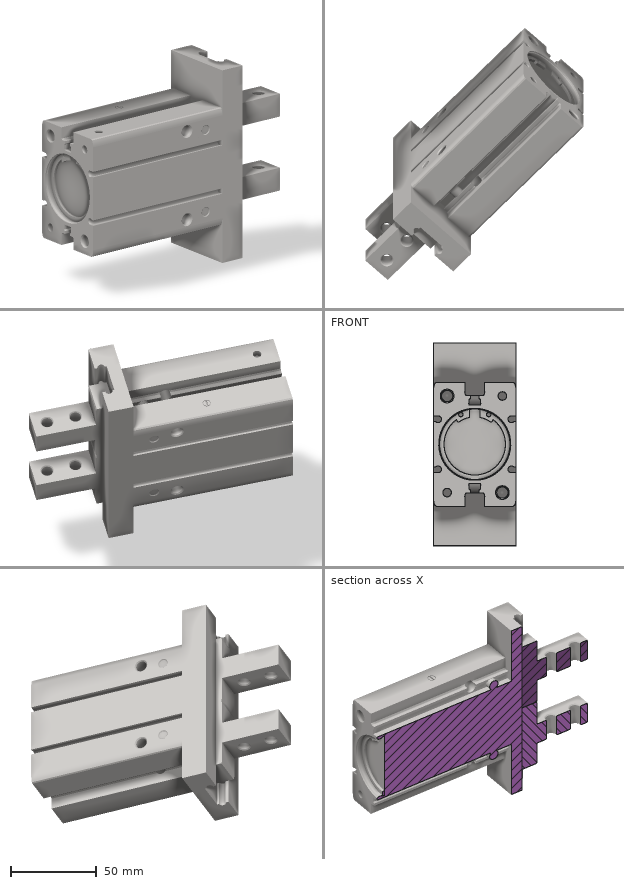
import cadquery as cq
import math


total_length = 150.2
width = 48.0
body_height = 72.0
body_length = 95.6
flange_height = 118.0
flange_thickness = 15.0
flange_front = body_length + flange_thickness
half_width = width / 2
half_height = body_height / 2

edge_drop = 4.5
bevel_width = 0.9
bevel_drop = 0.5
edge_arc_inset = 0.9
edge_arc_drop = edge_drop - bevel_drop
edge_arc_radius = (edge_arc_drop**2 + edge_arc_inset**2) / (2 * edge_arc_inset)

slot_width = 11.4
slot_depth = 7.7
slot_corner = 0.8
neck_width = 5.0
neck_end_depth = 9.3
undercut_width = 6.8
undercut_start_depth = 10.0
undercut_depth = 13.2

groove_outer_z = 16.5
groove_neck = 3.3
groove_diameter = 3.9
groove_depth = 4.7

pivot_y = 83.3
pivot_z = 25.0
pivot_diameter = 6.3
pivot_dish = 6.0
pivot_dish_depth = 0.5
cross_hole_y = 69.5
cross_hole_z = 27.0
cross_hole_diameter = 6.6
cross_hole_mouth = 8.0

rear_hole_x = 16.0
rear_hole_z = 28.1
mount_diameter = 6.6
mount_mouth = 8.0
mount_depth = 18.0
pilot_diameter = 5.0
pilot_depth = 12.0

port_x = 14.1
port_y = 12.0
port_diameter = 5.0
port_depth = 4.5
screw_y = 49.2
screw_diameter = 5.0
screw_head_diameter = 3.9
screw_recess = 0.5
screw_slot_width = 0.9
screw_slot_depth = 0.9

bore_diameter = 41.0
bore_mouth = 41.9
bore_mouth_depth = 0.8
bore_depth = 5.4
ring_thickness = 1.7
ring_outer_diameter = 42.3
ring_inner_diameter = 35.7
ring_gap = 5.9
lug_radius = 15.9
lug_half_angle = 37.0
lug_corner = 0.5
ring_hole_x = 8.1
ring_hole_z = 17.3
ring_hole_diameter = 2.5

jaw_width = 18.0
channel_depth = 7.2
rail_depth = 3.9
rail_diameter = 3.3
rail_groove_diameter = 4.2
jaw_plate_front = 114.4
jaw_plate_length = 44.1
jaw_plate_bevel_y = 0.5
jaw_plate_bevel_z = 1.8
finger_height = 14.0
finger_z = 22.7
finger_hole_tip_distance = 8.7
finger_hole_pitch = 17.0
finger_hole_diameter = 6.6
finger_hole_mouth = 7.8


def cylinder_x(diameter, length, x, y, z):
    """Cylinder along +X that starts at (x, y, z)."""
    return cq.Workplane(cq.Solid.makeCylinder(diameter / 2, length, cq.Vector(x, y, z), cq.Vector(1, 0, 0)))


def cylinder_y(diameter, length, x, y, z):
    """Cylinder along +Y that starts at (x, y, z)."""
    return cq.Workplane(cq.Solid.makeCylinder(diameter / 2, length, cq.Vector(x, y, z), cq.Vector(0, 1, 0)))


def hole_mouth(mouth, diameter, place, direction):
    """45 degree cone that opens a hole at its mouth."""
    depth = (mouth - diameter) / 2
    cone = cq.Solid.makeCone(mouth / 2, diameter / 2, depth, cq.Vector(*place), cq.Vector(*direction))
    return cq.Workplane(cone)


def extrude_y(sketch, start, end):
    """Extrude an (x, z) outline from Y = start to Y = end."""
    return sketch.extrude(start - end).translate((0, start, 0))


def body_block():
    """Extruded body with its four shaped long edges."""
    mid_angle = math.asin(edge_arc_drop / edge_arc_radius) / 2
    arc_mid_x = half_width - edge_arc_radius * (1 - math.cos(mid_angle))
    arc_end_z = half_height - edge_drop
    arc_mid_z = arc_end_z + edge_arc_radius * math.sin(mid_angle)
    arc_start_x = half_width - edge_arc_inset
    arc_start_z = half_height - bevel_drop
    outline = (
        cq.Workplane("XZ")
        .moveTo(0, half_height)
        .lineTo(arc_start_x - bevel_width, half_height)
        .lineTo(arc_start_x, arc_start_z)
        .threePointArc((arc_mid_x, arc_mid_z), (half_width, arc_end_z))
        .lineTo(half_width, -arc_end_z)
        .threePointArc((arc_mid_x, -arc_mid_z), (arc_start_x, -arc_start_z))
        .lineTo(arc_start_x - bevel_width, -half_height)
        .lineTo(0, -half_height)
        .mirrorY()
    )
    return extrude_y(outline, 0, body_length)


def stepped_slot():
    """Cutter for the slot in the top face: wide mouth, neck and undercut."""
    half_slot = slot_width / 2
    points = [
        (half_slot, 0),
        (half_slot, slot_depth - slot_corner),
        (half_slot - slot_corner, slot_depth),
        (neck_width / 2, slot_depth),
        (neck_width / 2, neck_end_depth),
        (undercut_width / 2, undercut_start_depth),
        (undercut_width / 2, undercut_depth),
    ]
    right = [(x, half_height - depth) for x, depth in points]
    left = [(-x, z) for x, z in reversed(right)]
    return extrude_y(cq.Workplane("XZ").polyline(right + left).close(), 0, body_length)


def side_groove(side):
    """Cutter for an upper sensor groove: its mouth is flush with the top of its wider round bottom."""
    centre_inset = groove_depth - groove_diameter / 2
    centre_x = side * (half_width - centre_inset)
    centre_z = groove_outer_z - groove_diameter / 2
    mouth = (
        cq.Workplane("XY")
        .box(centre_inset, body_length, groove_neck)
        .translate((side * (half_width - centre_inset / 2), body_length / 2, groove_outer_z - groove_neck / 2))
    )
    return mouth.union(cylinder_y(groove_diameter, body_length, centre_x, 0, centre_z))


def jaw_section(rail):
    """Jaw guide cross-section in the XY plane: straight sides and a round rail on each."""
    channel_floor = flange_front - channel_depth
    rail_y = flange_front - rail_depth
    half_jaw = jaw_width / 2
    return (
        cq.Workplane("XY")
        .moveTo(-half_jaw, channel_floor)
        .lineTo(half_jaw, channel_floor)
        .lineTo(half_jaw, rail_y - rail / 2)
        .threePointArc((half_jaw + rail / 2, rail_y), (half_jaw, rail_y + rail / 2))
        .lineTo(half_jaw, jaw_plate_front)
        .lineTo(-half_jaw, jaw_plate_front)
        .lineTo(-half_jaw, rail_y + rail / 2)
        .threePointArc((-half_jaw - rail / 2, rail_y), (-half_jaw, rail_y - rail / 2))
        .close()
    )


def cut_rear_holes(housing):
    """Chamfered mounting holes and plain pilot holes in opposite corners of the rear face."""
    for side in (-1, 1):
        x = side * rear_hole_x
        z = -side * rear_hole_z
        housing = housing.cut(cylinder_y(mount_diameter, mount_depth, x, 0, z))
        housing = housing.cut(hole_mouth(mount_mouth, mount_diameter, (x, 0, z), (0, 1, 0)))
        housing = housing.cut(cylinder_y(pilot_diameter, pilot_depth, x, 0, -z))
    return housing


def cut_cross_hole(housing, z):
    """Hole through the whole width, chamfered at both ends."""
    housing = housing.cut(cylinder_x(cross_hole_diameter, width, -half_width, cross_hole_y, z))
    for side in (-1, 1):
        place = (side * half_width, cross_hole_y, z)
        housing = housing.cut(hole_mouth(cross_hole_mouth, cross_hole_diameter, place, (-side, 0, 0)))
    return housing


def add_pivot(housing, z):
    """Pivot bar across the slot, with a shallow dished end on each side face."""
    housing = housing.union(cylinder_x(pivot_diameter, slot_width, -slot_width / 2, pivot_y, z))
    for side in (-1, 1):
        place = (side * half_width, pivot_y, z)
        dish_floor = pivot_dish - 2 * pivot_dish_depth
        housing = housing.cut(hole_mouth(pivot_dish, dish_floor, place, (-side, 0, 0)))
    return housing


def cut_top_openings(housing):
    """Blind port, and a slotted plug screw set slightly below the top face."""
    top = cq.Workplane("XY", origin=(0, 0, half_height))
    port = top.center(port_x, port_y).circle(port_diameter / 2).extrude(-port_depth)
    screw = top.center(-port_x, screw_y)
    rim = screw.circle(screw_diameter / 2).circle(screw_head_diameter / 2).extrude(-screw_recess)
    slot = screw.rect(screw_head_diameter, screw_slot_width).extrude(-screw_slot_depth)
    return housing.cut(port).cut(rim).cut(slot)


def cut_bore(housing):
    """Rear bore with a wider, chamfered mouth and a ring groove at its bottom."""
    housing = housing.cut(cylinder_y(bore_diameter, bore_depth, 0, 0, 0))
    housing = housing.cut(cylinder_y(bore_mouth, bore_mouth_depth, 0, 0, 0))
    housing = housing.cut(hole_mouth(bore_mouth, bore_diameter, (0, bore_mouth_depth, 0), (0, 1, 0)))
    groove_start = bore_depth - ring_thickness
    return housing.cut(cylinder_y(ring_outer_diameter, ring_thickness, 0, groove_start, 0))


def make_housing():
    flange = (
        cq.Workplane("XY")
        .box(width, flange_thickness, flange_height)
        .translate((0, body_length + flange_thickness / 2, 0))
    )
    housing = body_block()
    slot = stepped_slot()
    housing = housing.cut(slot).cut(slot.mirror("XY"))
    for side in (-1, 1):
        groove = side_groove(side)
        housing = housing.cut(groove).cut(groove.mirror("XY"))
    housing = housing.union(flange)
    channel = jaw_section(rail_groove_diameter).extrude(flange_height / 2, both=True)
    housing = housing.cut(channel)
    for direction in (-1, 1):
        housing = add_pivot(housing, direction * pivot_z)
        housing = cut_cross_hole(housing, direction * cross_hole_z)
    housing = cut_rear_holes(housing)
    housing = cut_top_openings(housing)
    return cut_bore(housing)


def make_jaw():
    """Upper jaw: guided plate with a finger that carries two holes."""
    jaw = jaw_section(rail_diameter).extrude(jaw_plate_length)
    for z, inward in ((0, 1), (jaw_plate_length, -1)):
        bevel = (
            cq.Workplane("YZ")
            .moveTo(jaw_plate_front, z)
            .lineTo(jaw_plate_front - jaw_plate_bevel_y, z)
            .lineTo(jaw_plate_front, z + inward * jaw_plate_bevel_z)
            .close()
            .extrude(half_width, both=True)
        )
        jaw = jaw.cut(bevel)
    finger_root = flange_front
    finger_length = total_length - finger_root
    finger = (
        cq.Workplane("XY")
        .box(jaw_width, finger_length, finger_height)
        .translate((0, finger_root + finger_length / 2, finger_z))
    )
    jaw = jaw.union(finger)
    finger_bottom = finger_z - finger_height / 2
    finger_top = finger_z + finger_height / 2
    for index in range(2):
        y = total_length - finger_hole_tip_distance - index * finger_hole_pitch
        hole = cq.Workplane("XY", origin=(0, y, finger_bottom)).circle(finger_hole_diameter / 2)
        jaw = jaw.cut(hole.extrude(finger_height))
        for z, direction in ((finger_bottom, 1), (finger_top, -1)):
            jaw = jaw.cut(hole_mouth(finger_hole_mouth, finger_hole_diameter, (0, y, z), (0, 0, direction)))
    return jaw


def make_retaining_ring():
    """Open ring with two widened ends that carry the plier holes."""
    start = bore_depth - ring_thickness
    outer = cylinder_y(ring_outer_diameter, ring_thickness, 0, start, 0)
    ring = outer.cut(cylinder_y(ring_inner_diameter, ring_thickness, 0, start, 0))
    reach_x = ring_outer_diameter * math.sin(math.radians(lug_half_angle))
    reach_z = ring_outer_diameter * math.cos(math.radians(lug_half_angle))
    sector = cq.Workplane("XZ").polyline([(0, 0), (reach_x, reach_z), (-reach_x, reach_z)]).close()
    lugs = extrude_y(sector, start, bore_depth).intersect(outer)
    lugs = lugs.cut(cylinder_y(2 * lug_radius, ring_thickness, 0, start, 0))
    corner_x = lug_radius * math.sin(math.radians(lug_half_angle))
    corner_z = lug_radius * math.cos(math.radians(lug_half_angle))
    for x in (-corner_x, corner_x):
        lugs = lugs.edges(cq.selectors.NearestToPointSelector((x, start + ring_thickness / 2, corner_z)))
        lugs = lugs.fillet(lug_corner)
    ring = ring.union(lugs)
    gap = (
        cq.Workplane("XY")
        .box(ring_gap, ring_thickness, ring_outer_diameter / 2)
        .translate((0, start + ring_thickness / 2, ring_outer_diameter / 4))
    )
    ring = ring.cut(gap)
    for x in (-ring_hole_x, ring_hole_x):
        ring = ring.cut(cylinder_y(ring_hole_diameter, ring_thickness, x, start, ring_hole_z))
    return ring


housing = make_housing()
retaining_ring = make_retaining_ring()
upper_jaw = make_jaw()
lower_jaw = upper_jaw.mirror("XY")

result = cq.Compound.makeCompound(
    [housing.val(), retaining_ring.val(), upper_jaw.val(), lower_jaw.val()]
)